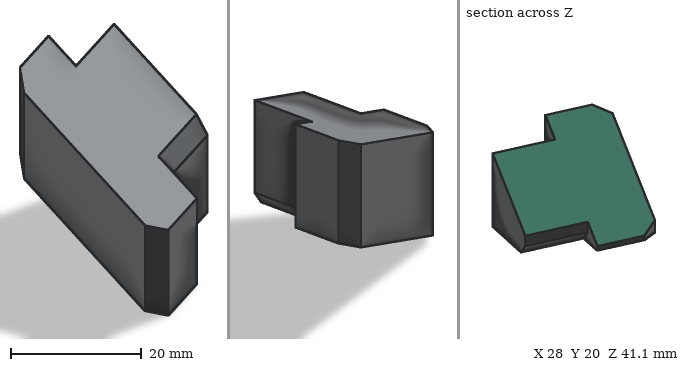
import cadquery as cq
import math

width = 28.0
height = 41.1
slope = math.tan(math.radians(35))
head_depth = 10.03
total_depth = 20.0
stem_inset = 5.18
head_chamfer_x = 2.6
head_chamfer_y = 2.5
stem_chamfer_x = 2.1
stem_chamfer_z = 2.2

half_width = width / 2
side_height = height - width * slope
stem_half_width = half_width - stem_inset


def end_height(x):
    """Z of the upper sloping end face; the lower one is side_height below."""
    return side_height / 2 - slope * x


def make_head():
    """Parallelogram slab with both front vertical edges chamfered."""
    slab = (
        cq.Workplane("XZ")
        .polyline([
            (-half_width, end_height(-half_width)),
            (half_width, end_height(half_width)),
            (half_width, end_height(half_width) - side_height),
            (-half_width, end_height(-half_width) - side_height),
        ])
        .close()
        .extrude(-head_depth)
    )
    plan = (
        cq.Workplane("XY")
        .polyline([
            (-half_width + head_chamfer_x, 0),
            (half_width - head_chamfer_x, 0),
            (half_width, head_chamfer_y),
            (half_width, head_depth),
            (-half_width, head_depth),
            (-half_width, head_chamfer_y),
        ])
        .close()
        .extrude(height / 2, both=True)
    )
    return slab.intersect(plan)


def make_stem():
    """Narrower slab behind the head with its two obtuse corners cut off."""
    cut_x = stem_half_width - stem_chamfer_x
    upper_half = [
        (-stem_half_width, end_height(-stem_half_width)),
        (cut_x, end_height(cut_x)),
        (stem_half_width, end_height(stem_half_width) - stem_chamfer_z),
    ]
    lower_half = [(-x, -z) for x, z in upper_half]
    return (
        cq.Workplane("XZ", origin=(0, head_depth, 0))
        .polyline(upper_half + lower_half)
        .close()
        .extrude(head_depth - total_depth)
    )


result = make_head().union(make_stem())